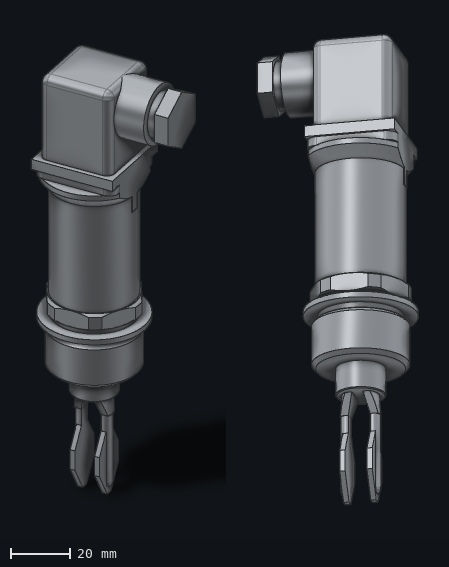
import cadquery as cq
import math

TOTAL_LENGTH_X = 53.1
TOTAL_WIDTH_Y = 39.0

TOP_Z = 162.9
PLATE_TOP_Z = 131.0
PLATE_BOTTOM_Z = 127.0
RIM_TOP_Z = 124.0
RIM_BOTTOM_Z = 122.0
CONE_BOTTOM_Z = 118.0
TAB_BOTTOM_Z = 112.0
NUT_TOP_Z = 76.7
NUT_BOTTOM_Z = 70.4
WASHER_TOP_Z = 68.5
WASHER_BOTTOM_Z = 66.6
THREAD_TOP_Z = 64.5
THREAD_BOTTOM_Z = 47.9
STEM_BOTTOM_Z = 38.1
ROOT_BOTTOM_Z = 30.8

TUBE_RADIUS = 15.5
RIM_RADIUS = 18.9
WASHER_RADIUS = TOTAL_WIDTH_Y / 2
RELIEF_RADIUS = 14.7
THREAD_RADIUS = 16.6
THREAD_CHAMFER = 1.5
STEM_RADIUS = 8.5
STEM_CHAMFER = 0.3

NUT_HALF_FLATS = 16.0
NUT_RADIUS = 17.3
NUT_CHAMFER_HEIGHT = 0.8

HEAD_SIDE = 27.4
HEAD_FILLET = 3.0
PLATE_SIDE = 31.3
NECK_DEPTH = 29.3
NECK_FILLET = 3.9
TAB_WIDTH = 3.7

GLAND_RADIUS = 11.0
GLAND_Z = TOP_Z - GLAND_RADIUS
GLAND_END_X = 25.1
GLAND_NECK_RADIUS = 8.5
GLAND_NUT_X = 28.3
GLAND_NUT_END_X = TOTAL_LENGTH_X - WASHER_RADIUS
GLAND_NUT_CORNER_RADIUS = 10.9

TINE_INNER_X = 3.7
ROD_DIAMETER = 4.4
ROD_RADIUS = ROD_DIAMETER / 2
ROD_X = 4.7
ROD_END_Z = 4.4
PADDLE_THICKNESS = 2.0
PADDLE_HALF_WIDTH = 6.7
PADDLE_TIP_HALF_WIDTH = 1.3
PADDLE_TOP_Z = 24.5
PADDLE_WIDE_TOP_Z = 16.8
PADDLE_WIDE_BOTTOM_Z = 9.3
ROOT_TOP_RADIUS = 6.4
ROOT_BOTTOM_RADIUS = ROD_X + ROD_RADIUS
ROOT_TOP_HALF_WIDTH = 4.7
ROOT_GAP_TOP_HALF_WIDTH = 2.0


def disc(radius, bottom, top):
    """Upright cylinder on the main axis."""
    return cq.Workplane("XY").workplane(offset=bottom).circle(radius).extrude(top - bottom)


def block(size_x, size_y, bottom, top):
    """Upright box centred on the main axis."""
    return cq.Workplane("XY").workplane(offset=bottom).rect(size_x, size_y).extrude(top - bottom)


def turned_body():
    tube = disc(TUBE_RADIUS, WASHER_TOP_Z, CONE_BOTTOM_Z)
    washer = disc(WASHER_RADIUS, WASHER_BOTTOM_Z, WASHER_TOP_Z)
    relief = disc(RELIEF_RADIUS, THREAD_TOP_Z, WASHER_BOTTOM_Z)
    thread = disc(THREAD_RADIUS, THREAD_BOTTOM_Z, THREAD_TOP_Z).faces("<Z or >Z").chamfer(THREAD_CHAMFER)
    stem = disc(STEM_RADIUS, STEM_BOTTOM_Z, THREAD_BOTTOM_Z).faces("<Z").chamfer(STEM_CHAMFER)
    return tube.union(washer).union(relief).union(thread).union(stem)


def body_hexagon():
    """Hexagon with flats facing +Y and -Y, its corners turned down and chamfered."""
    corner_diameter = 2 * NUT_HALF_FLATS / math.cos(math.pi / 6)
    height = NUT_TOP_Z - NUT_BOTTOM_Z
    hexagon = cq.Workplane("XY").workplane(offset=NUT_BOTTOM_Z).polygon(6, corner_diameter).extrude(height)
    blank = disc(NUT_RADIUS, NUT_BOTTOM_Z, NUT_TOP_Z)
    blank = blank.faces("<Z or >Z").chamfer(NUT_CHAMFER_HEIGHT, NUT_RADIUS - NUT_HALF_FLATS)
    return hexagon.intersect(blank)


def socket():
    """Conical rim and neck below the square plate, flattened on the +X and -X sides."""
    rim = (
        cq.Workplane("XZ")
        .moveTo(0, CONE_BOTTOM_Z)
        .lineTo(TUBE_RADIUS, CONE_BOTTOM_Z)
        .lineTo(RIM_RADIUS, RIM_BOTTOM_Z)
        .lineTo(RIM_RADIUS, RIM_TOP_Z)
        .lineTo(0, RIM_TOP_Z)
        .close()
        .revolve(360, (0, 0), (0, 1))
        .intersect(block(PLATE_SIDE, 2 * RIM_RADIUS, CONE_BOTTOM_Z, RIM_TOP_Z))
    )
    neck = block(PLATE_SIDE, NECK_DEPTH, RIM_TOP_Z, PLATE_BOTTOM_Z).edges("|Z").fillet(NECK_FILLET)
    plate = block(PLATE_SIDE, PLATE_SIDE, PLATE_BOTTOM_Z, PLATE_TOP_Z)
    tabs = block(PLATE_SIDE, TAB_WIDTH, TAB_BOTTOM_Z, PLATE_BOTTOM_Z)
    return rim.union(neck).union(plate).union(tabs)


def head():
    housing = block(HEAD_SIDE, HEAD_SIDE, PLATE_TOP_Z, TOP_Z)
    return housing.edges("|Z or >Z").fillet(HEAD_FILLET)


def cable_gland():
    axis = cq.Workplane("YZ", origin=(0, 0, GLAND_Z))
    sleeve_start_x = HEAD_SIDE / 2 - HEAD_FILLET
    sleeve = axis.workplane(offset=sleeve_start_x).circle(GLAND_RADIUS).extrude(GLAND_END_X - sleeve_start_x)
    neck = axis.workplane(offset=GLAND_END_X).circle(GLAND_NECK_RADIUS).extrude(GLAND_NUT_X - GLAND_END_X)
    nut = (
        axis.workplane(offset=GLAND_NUT_X)
        .transformed(rotate=(0, 0, 90))
        .polygon(6, 2 * GLAND_NUT_CORNER_RADIUS)
        .extrude(GLAND_NUT_END_X - GLAND_NUT_X)
    )
    return sleeve.union(neck).union(nut)


def fork_roots():
    """Roots of both tines: a slim cone narrowed to a wedge and split by a tapering gap."""
    wedge = (
        cq.Workplane("YZ")
        .moveTo(-ROD_RADIUS, ROOT_BOTTOM_Z)
        .lineTo(ROD_RADIUS, ROOT_BOTTOM_Z)
        .lineTo(ROOT_TOP_HALF_WIDTH, STEM_BOTTOM_Z)
        .lineTo(-ROOT_TOP_HALF_WIDTH, STEM_BOTTOM_Z)
        .close()
        .extrude(ROOT_BOTTOM_RADIUS, both=True)
    )
    gap = (
        cq.Workplane("XZ")
        .moveTo(-TINE_INNER_X, ROOT_BOTTOM_Z)
        .lineTo(TINE_INNER_X, ROOT_BOTTOM_Z)
        .lineTo(ROOT_GAP_TOP_HALF_WIDTH, STEM_BOTTOM_Z)
        .lineTo(-ROOT_GAP_TOP_HALF_WIDTH, STEM_BOTTOM_Z)
        .close()
        .extrude(ROOT_BOTTOM_RADIUS, both=True)
    )
    cone = (
        cq.Workplane("XY")
        .workplane(offset=ROOT_BOTTOM_Z)
        .circle(ROOT_BOTTOM_RADIUS)
        .workplane(offset=STEM_BOTTOM_Z - ROOT_BOTTOM_Z)
        .circle(ROOT_TOP_RADIUS)
        .loft()
    )
    return cone.intersect(wedge).cut(gap)


def tine():
    """Tine on the +X side: a round-ended rod with a flat inner face, and its paddle."""
    rod = disc(ROD_RADIUS, ROD_END_Z, ROOT_BOTTOM_Z).translate((ROD_X, 0, 0))
    rod_end = cq.Workplane("XY").sphere(ROD_RADIUS).translate((ROD_X, 0, ROD_END_Z))
    inner_side = block(2 * TINE_INNER_X, 2 * PADDLE_HALF_WIDTH, 0, ROOT_BOTTOM_Z)
    right_half = [
        (PADDLE_TIP_HALF_WIDTH, 0),
        (PADDLE_HALF_WIDTH, PADDLE_WIDE_BOTTOM_Z),
        (PADDLE_HALF_WIDTH, PADDLE_WIDE_TOP_Z),
        (ROD_RADIUS, PADDLE_TOP_Z),
    ]
    left_half = [(-y, z) for y, z in reversed(right_half)]
    paddle = (
        cq.Workplane("YZ")
        .workplane(offset=TINE_INNER_X)
        .polyline(right_half + left_half)
        .close()
        .extrude(PADDLE_THICKNESS)
    )
    return rod.union(rod_end).cut(inner_side).union(paddle)


right_tine = tine()
left_tine = right_tine.mirror("YZ")
fork = fork_roots().union(right_tine).union(left_tine)
body = turned_body().union(body_hexagon())
plug = socket().union(head()).union(cable_gland())
result = body.union(plug).union(fork)